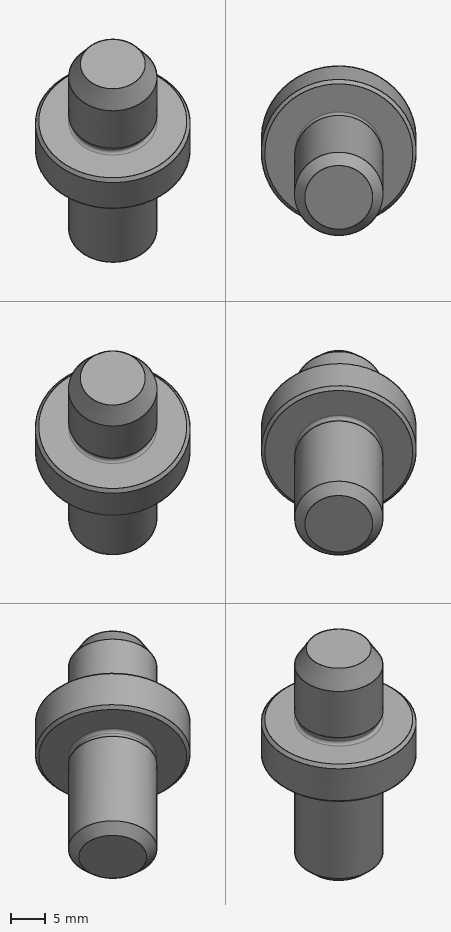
import cadquery as cq
import math

total_height = 38.1
pin_diameter = 12.7
pin_radius = pin_diameter / 2
foot_chamfer = 1.5
nose_height = 2.9
nose_tip_radius = 4.65

collar_diameter = 22.2
collar_radius = collar_diameter / 2
collar_bottom = 18.63
collar_top = 25.37
collar_chamfer = 0.5

groove_width = 1.5
groove_depth = 0.5
groove_floor_radius = pin_radius - groove_depth


def add_groove(outline, bottom):
    """Continue the outline up through a groove, from its lower to its upper rim."""
    top = bottom + groove_width
    arc_inset = groove_depth * (1 - math.sqrt(0.5))
    middle_radius = groove_floor_radius + arc_inset
    return (
        outline
        .threePointArc((middle_radius, bottom + arc_inset), (groove_floor_radius, bottom + groove_depth))
        .lineTo(groove_floor_radius, top - groove_depth)
        .threePointArc((middle_radius, top - arc_inset), (pin_radius, top))
    )


outline = (
    cq.Workplane("XZ")
    .lineTo(pin_radius - foot_chamfer, 0)
    .lineTo(pin_radius, foot_chamfer)
    .lineTo(pin_radius, collar_bottom - groove_width)
)
outline = add_groove(outline, collar_bottom - groove_width)
outline = (
    outline
    .lineTo(collar_radius - collar_chamfer, collar_bottom)
    .lineTo(collar_radius, collar_bottom + collar_chamfer)
    .lineTo(collar_radius, collar_top - collar_chamfer)
    .lineTo(collar_radius - collar_chamfer, collar_top)
    .lineTo(pin_radius, collar_top)
)
outline = add_groove(outline, collar_top)
outline = (
    outline
    .lineTo(pin_radius, total_height - nose_height)
    .lineTo(nose_tip_radius, total_height)
    .lineTo(0, total_height)
    .close()
)

result = outline.revolve(360, (0, 0, 0), (0, 1, 0))